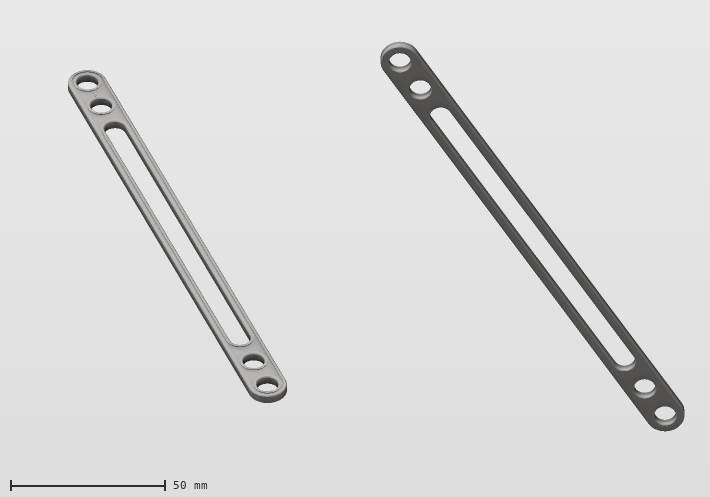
import cadquery as cq

length = 175
pitch_count = 14
pitch = length / pitch_count
width = pitch
thickness = 3.2

hole_diameter = 7
slot_width = hole_diameter

edge_chamfer = 0.3

rim_width = 1.08
collar_wall = 1.1
collar_diameter = hole_diameter + 2 * collar_wall
recess_depth = 0.26

mark_length = 2.5
mark_width = 0.44

end_hole_x = (length - width) / 2
inner_hole_x = end_hole_x - pitch
slot_end_x = inner_hole_x - pitch
hole_positions = [(x, 0) for x in (-end_hole_x, -inner_hole_x, inner_hole_x, end_hole_x)]

floor_z = thickness - recess_depth


def round_ended_bar(end_x, bar_width, base_z, height):
    """Bar along X whose semicircular ends are centred at -end_x and +end_x."""
    return (
        cq.Workplane("XY", origin=(0, 0, base_z))
        .slot2D(2 * end_x + bar_width, bar_width)
        .extrude(height)
    )


def round_pegs(diameter, base_z, height):
    """Cylinder at every hole position."""
    return (
        cq.Workplane("XY", origin=(0, 0, base_z))
        .pushPoints(hole_positions)
        .circle(diameter / 2)
        .extrude(height)
    )


def chamfered_bar():
    """Full-height bar with its holes and slot, all edges chamfered."""
    return (
        round_ended_bar(end_hole_x, width, 0, thickness)
        .cut(round_pegs(hole_diameter, 0, thickness))
        .cut(round_ended_bar(slot_end_x, slot_width, 0, thickness))
        .faces("<Z or >Z")
        .edges()
        .chamfer(edge_chamfer)
    )


def floor_mark():
    """Thin raised bar midway between the two holes at the -X end."""
    mark_x = -(end_hole_x + inner_hole_x) / 2
    return cq.Workplane("XY", origin=(mark_x, 0, floor_z)).box(
        mark_length, mark_width, recess_depth, centered=(True, True, False)
    )


def top_recess():
    """Inside of the rim, less the collars and the mark that stay at full height."""
    return (
        round_ended_bar(end_hole_x, width - 2 * rim_width, floor_z, recess_depth)
        .cut(round_pegs(collar_diameter, floor_z, recess_depth))
        .cut(round_ended_bar(slot_end_x, collar_diameter, floor_z, recess_depth))
        .cut(floor_mark())
    )


result = chamfered_bar().cut(top_recess())